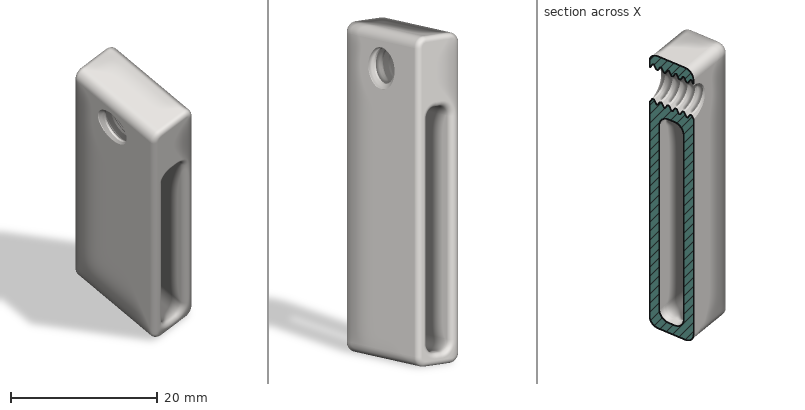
import cadquery as cq
import math

width = 16.0
thickness = 7.5
height = 46.0
long_edge_radius = 1.5
side_edge_radius = 0.75

slot_width = 4.0
slot_corner_radius = 1.5
slot_top = height - 10.0
slot_bottom = (thickness - slot_width) / 2
slot_height = slot_top - slot_bottom

hole_z = height - 5.0
major_radius = 6.5 / 2
pitch = 25.4 / 20
flank_half_angle = 30.0
flank_slope = math.tan(math.radians(flank_half_angle))
root_flat = pitch / 8
crest_flat = pitch / 4
thread_depth = (pitch - root_flat - crest_flat) / (2 * flank_slope)
minor_radius = major_radius - thread_depth
front_groove_angle = 225.0
groove_overlap = 0.1
end_turns = 1


def rounded_bar(size_y, size_z, bottom, corner_radius):
    """Bar along X, the full width of the body, with rounded long edges."""
    bar = cq.Workplane("XY").box(width, size_y, size_z, centered=(True, True, False))
    return bar.translate((0, 0, bottom)).edges("|X").fillet(corner_radius)


def slotted_body():
    """Rounded bar with a slot, its outer and slot edges on both X faces rounded."""
    body = rounded_bar(thickness, height, 0, long_edge_radius)
    body = body.cut(rounded_bar(slot_width, slot_height, slot_bottom, slot_corner_radius))
    return body.faces("<X or >X").edges().fillet(side_edge_radius)


def thread_groove():
    """Helical cutter around the Z axis that runs past both ends of the hole."""
    inner_radius = minor_radius - groove_overlap
    root_half = root_flat / 2
    mouth_half = root_half + (major_radius - inner_radius) * flank_slope
    turns = 2 * end_turns + math.ceil(thickness / pitch)
    length = turns * pitch
    corners = [
        (inner_radius, -mouth_half),
        (major_radius, -root_half),
        (major_radius, root_half),
        (inner_radius, mouth_half),
    ]
    helices = [
        cq.Wire.makeHelix(pitch, length, radius).translate(cq.Vector(0, 0, offset))
        for radius, offset in corners
    ]
    faces = [cq.Face.makeRuledSurface(helices[i - 1], helices[i]) for i in range(len(helices))]
    for end in (0, length):
        outline = [cq.Vector(radius, 0, offset + end) for radius, offset in corners]
        faces.append(cq.Face.makeFromWires(cq.Wire.makePolygon(outline, close=True)))
    groove = cq.Workplane(cq.Solid.makeSolid(cq.Shell.makeShell(faces)))
    groove_end = thickness / 2 + end_turns * pitch
    return groove.rotate((0, 0, 0), (0, 0, 1), front_groove_angle).translate((0, 0, groove_end - length))


def cut_threaded_hole(body):
    """Bore through along Y, then the thread groove; the cutter's +Z end faces -Y."""
    bore = cq.Workplane("XY").circle(minor_radius).extrude(thickness / 2, both=True)
    for cutter in (bore, thread_groove()):
        placed = cutter.rotate((0, 0, 0), (1, 0, 0), 90).translate((0, 0, hole_z))
        body = body.cut(placed)
    return body


result = cut_threaded_hole(slotted_body()).solids()